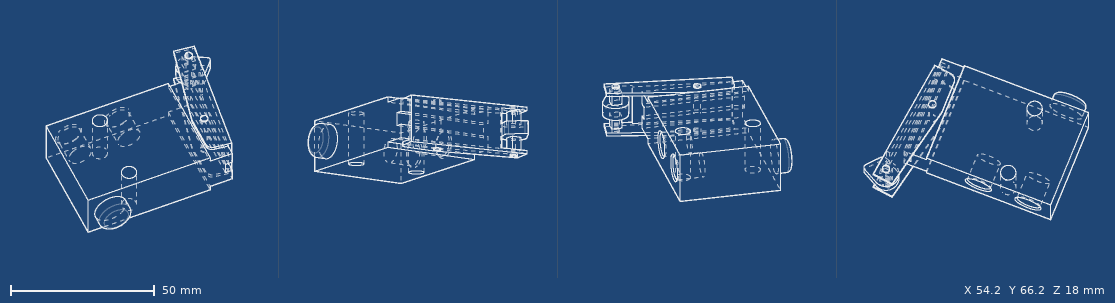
import cadquery as cq
import math

BODY_LENGTH = 36.0
BODY_HEIGHT = 46.4
BODY_THICKNESS = 18.0

NECK_TOP = 54.8
NECK_THICKNESS = 14.2
SLOT_WIDTH = 4.6
SLOT_FLOOR = 52.2

MOUNT_HOLE_DIAMETER = 5.3
MOUNT_HOLE_SPACING = 25.0
MOUNT_HOLE_HEIGHT = 18.0

PORT_DIAMETER = 8.57
PORT_CHAMFER = 0.6
PORT_DEPTH = 10.0
LOWER_PORT_HEIGHT = 8.5
UPPER_PORT_HEIGHT = 27.0

BOSS_DIAMETER = 12.0
BOSS_LENGTH = 5.0
BOSS_FILLET = 1.4

SHEET = 1.2
LEVER_TILT = 7.0
LEVER_LENGTH = 44.8
LEVER_FREE_END_DEPTH = 7.5
LEVER_TOP_LEFT = (-11.9, 61.57)
LEVER_BOTTOM = 47.6
LEVER_BEND_X = 17.8
LEVER_CORNER_RADIUS = 2.5
WEB_OVERHANG = 2.2

PIN_DIAMETER = 2.6
PIN_PROTRUSION = 0.5
PIVOT = (19.0, 51.65)
ROLLER_PIN = (-8.68, 58.05)
SPACER_SIDE = 3.6
SPACER_LENGTH = 13.8

HUB_RADIUS = 4.55
LEFT_FLAT_ANGLE = 151.8
RIGHT_FLAT_ANGLE = -16.7
NOSE_FLAT_ANGLE = 48.7
NOSE_FLAT_DISTANCE = 6.28
NOSE_RADIUS = 1.1
SHOULDER_RADIUS = 1.8


def direction(angle):
    """Unit vector at an angle from +X."""
    return math.cos(math.radians(angle)), math.sin(math.radians(angle))


def along(start, angle, distance):
    """Point at a distance from a start point in a given direction."""
    ux, uy = direction(angle)
    return start[0] + distance * ux, start[1] + distance * uy


def flats_corner(centre, angle_a, distance_a, angle_b, distance_b):
    """Point where two flats meet, each given by its facing angle and distance from a centre."""
    ax, ay = direction(angle_a)
    bx, by = direction(angle_b)
    cross = ax * by - ay * bx
    x = (distance_a * by - distance_b * ay) / cross
    y = (distance_b * ax - distance_a * bx) / cross
    return centre[0] + x, centre[1] + y


def centred_extrusion(outline, thickness):
    """Extrude an XY outline evenly to both sides of the middle plane."""
    return outline.extrude(thickness / 2, both=True)


def rectangle(left, bottom, right, top):
    """Closed XY rectangle from its four sides."""
    corners = [(left, bottom), (right, bottom), (right, top), (left, top)]
    return cq.Workplane("XY").polyline(corners).close()


def make_body():
    body = centred_extrusion(rectangle(0, 0, BODY_LENGTH, BODY_HEIGHT), BODY_THICKNESS)
    neck = centred_extrusion(rectangle(0, 0, BODY_LENGTH, NECK_TOP), NECK_THICKNESS)
    slot = centred_extrusion(rectangle(0, SLOT_FLOOR, BODY_LENGTH, NECK_TOP), SLOT_WIDTH)
    return body.union(neck).cut(slot)


def make_mounting_holes():
    first_x = (BODY_LENGTH - MOUNT_HOLE_SPACING) / 2
    centres = [(first_x + i * MOUNT_HOLE_SPACING, MOUNT_HOLE_HEIGHT) for i in range(2)]
    circles = cq.Workplane("XY").pushPoints(centres).circle(MOUNT_HOLE_DIAMETER / 2)
    return centred_extrusion(circles, BODY_THICKNESS)


def make_port(height):
    """Blind port with a countersunk mouth, as a solid of revolution about its X axis."""
    radius = PORT_DIAMETER / 2
    profile = [
        (0, 0),
        (0, radius + PORT_CHAMFER),
        (PORT_CHAMFER, radius),
        (PORT_DEPTH, radius),
        (PORT_DEPTH, 0),
    ]
    port = cq.Workplane("XY").polyline(profile).close().revolve(360, (0, 0), (1, 0))
    return port.translate((0, height, 0))


def make_boss():
    boss = cq.Workplane("YZ", origin=(BODY_LENGTH, LOWER_PORT_HEIGHT, 0))
    boss = boss.circle(BOSS_DIAMETER / 2).extrude(BOSS_LENGTH)
    return boss.faces(">X").edges().fillet(BOSS_FILLET)


def make_lever():
    """Two side plates joined by a web along their top edge."""
    down = -90 - LEVER_TILT
    top_right = along(LEVER_TOP_LEFT, -LEVER_TILT, LEVER_LENGTH)
    free_end_bottom = along(LEVER_TOP_LEFT, down, LEVER_FREE_END_DEPTH)
    right_end_depth = (top_right[1] - LEVER_BOTTOM) / math.cos(math.radians(LEVER_TILT))
    bottom_right = along(top_right, down, right_end_depth)
    bend = (LEVER_BEND_X, LEVER_BOTTOM)
    outline = [LEVER_TOP_LEFT, top_right, bottom_right, bend, free_end_bottom]
    outer_width = NECK_THICKNESS + 2 * SHEET
    plates = centred_extrusion(cq.Workplane("XY").polyline(outline).close(), outer_width)
    plates = plates.edges(cq.selectors.NearestToPointSelector((*bottom_right, 0))).fillet(LEVER_CORNER_RADIUS)
    gap = rectangle(free_end_bottom[0], LEVER_BOTTOM, top_right[0], LEVER_TOP_LEFT[1])
    plates = plates.cut(centred_extrusion(gap, NECK_THICKNESS))

    web_start = (-WEB_OVERHANG - LEVER_TOP_LEFT[0]) / math.cos(math.radians(LEVER_TILT))
    web_top_left = along(LEVER_TOP_LEFT, -LEVER_TILT, web_start)
    web_outline = [
        web_top_left,
        top_right,
        along(top_right, down, SHEET),
        along(web_top_left, down, SHEET),
    ]
    web = centred_extrusion(cq.Workplane("XY").polyline(web_outline).close(), outer_width)
    return plates.union(web)


def make_pin(centre):
    length = NECK_THICKNESS + 2 * (SHEET + PIN_PROTRUSION)
    return centred_extrusion(cq.Workplane("XY").center(*centre).circle(PIN_DIAMETER / 2), length)


def make_spacer():
    """Square bar that holds the cam between the lever plates."""
    square = cq.Workplane("XY").center(*ROLLER_PIN).rect(SPACER_SIDE, SPACER_SIDE)
    return centred_extrusion(square, SPACER_LENGTH)


def make_cam():
    left_tangent = along(ROLLER_PIN, LEFT_FLAT_ANGLE, HUB_RADIUS)
    right_tangent = along(ROLLER_PIN, RIGHT_FLAT_ANGLE, HUB_RADIUS)
    hub_bottom = along(ROLLER_PIN, (LEFT_FLAT_ANGLE + RIGHT_FLAT_ANGLE) / 2 + 180, HUB_RADIUS)
    nose = (NOSE_FLAT_ANGLE, NOSE_FLAT_DISTANCE)
    tip = flats_corner(ROLLER_PIN, *nose, LEFT_FLAT_ANGLE, HUB_RADIUS)
    shoulder = flats_corner(ROLLER_PIN, RIGHT_FLAT_ANGLE, HUB_RADIUS, *nose)
    outline = cq.Workplane("XY").moveTo(*left_tangent).threePointArc(hub_bottom, right_tangent)
    outline = outline.lineTo(*shoulder).lineTo(*tip).close()
    cam = centred_extrusion(outline, SLOT_WIDTH)
    for corner, radius in ((tip, NOSE_RADIUS), (shoulder, SHOULDER_RADIUS)):
        cam = cam.edges(cq.selectors.NearestToPointSelector((*corner, 0))).fillet(radius)
    return cam


result = make_body().cut(make_mounting_holes())
for port_height in (LOWER_PORT_HEIGHT, UPPER_PORT_HEIGHT):
    result = result.cut(make_port(port_height))
result = result.union(make_boss()).union(make_lever()).union(make_spacer()).union(make_cam())
for pin_centre in (PIVOT, ROLLER_PIN):
    result = result.union(make_pin(pin_centre))